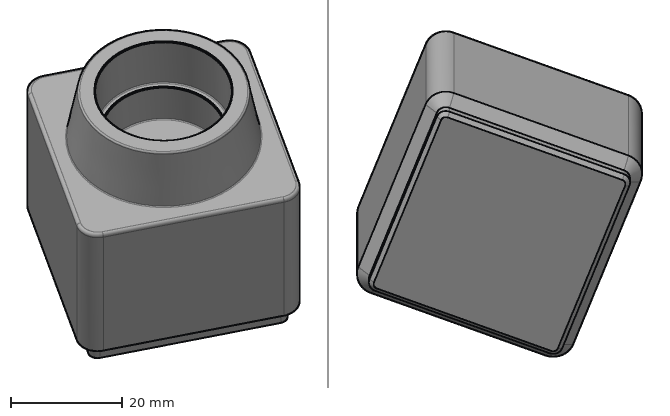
import cadquery as cq

body_width = 41.5
total_height = 47.0

flare = 2.15
base_width = body_width - 2 * flare
base_bottom_chamfer = 0.85
base_top = 2.73
body_side_bottom = base_top + flare
body_top = 35.1
body_corner_radius = 3.9
body_top_fillet = 0.7
base_corner_radius = body_corner_radius - flare

neck_bottom_diameter = 35.05
neck_top_diameter = 30.93
neck_top_fillet = 0.38
neck_foot_fillet = 0.2

bore_diameter = 24.6
bore_depth = 10.58
inner_bore_diameter = 22.3
floor_height = 28.2
bore_edge_chamfer = 0.2
bore_corner_fillet = 0.2


def rounded_square(width, corner_radius, height):
    """Sketch of a square with rounded corners, lying at the given height."""
    sketch = cq.Sketch().rect(width, width).vertices().fillet(corner_radius)
    return cq.Workplane("XY", origin=(0, 0, height)).placeSketch(sketch)


def rounded_block(width, corner_radius, bottom, top):
    """Vertical block with a rounded square outline."""
    return rounded_square(width, corner_radius, bottom).extrude(top - bottom)


def rounded_taper(bottom_width, bottom_radius, bottom, top_width, top_radius, top):
    """Straight loft between two rounded squares."""
    lower = cq.Sketch().rect(bottom_width, bottom_width).vertices().fillet(bottom_radius)
    upper = cq.Sketch().rect(top_width, top_width).vertices().fillet(top_radius)
    upper = upper.moved(cq.Location(cq.Vector(0, 0, top - bottom)))
    return cq.Workplane("XY", origin=(0, 0, bottom)).placeSketch(lower, upper).loft(ruled=True)


def make_base():
    """Stepped foot: bottom chamfer, short upright band and flare out to the body."""
    bottom_chamfer = rounded_taper(
        base_width - 2 * base_bottom_chamfer,
        base_corner_radius - base_bottom_chamfer,
        0,
        base_width,
        base_corner_radius,
        base_bottom_chamfer,
    )
    band = rounded_block(base_width, base_corner_radius, base_bottom_chamfer, base_top)
    flared_collar = rounded_taper(
        base_width, base_corner_radius, base_top, body_width, body_corner_radius, body_side_bottom
    )
    return bottom_chamfer.union(band).union(flared_collar)


def make_body():
    """Main block with a rounded top edge."""
    block = rounded_block(body_width, body_corner_radius, body_side_bottom, body_top)
    return block.faces(">Z").edges().fillet(body_top_fillet)


def make_neck():
    """Neck turned about Z, with a straight tapered side."""
    bottom_radius = neck_bottom_diameter / 2
    top_radius = neck_top_diameter / 2
    neck = (
        cq.Workplane("XZ")
        .moveTo(0, body_top)
        .lineTo(bottom_radius, body_top)
        .lineTo(top_radius, total_height)
        .lineTo(0, total_height)
        .close()
        .revolve(360, (0, 0, 0), (0, 1, 0))
    )
    return neck.faces(">Z").edges().fillet(neck_top_fillet)


def rounded_plug(diameter, bottom, top):
    """Bore cutter with a rounded bottom edge and a chamfered mouth."""
    plug = cq.Workplane("XY", origin=(0, 0, bottom)).circle(diameter / 2).extrude(top - bottom)
    plug = plug.faces("<Z").edges().fillet(bore_corner_fillet)
    mouth = (
        cq.Workplane("XY", origin=(0, 0, top))
        .circle(diameter / 2 + bore_edge_chamfer)
        .extrude(-bore_edge_chamfer, taper=45)
    )
    return plug.union(mouth)


def make_bore():
    """Cutter for the stepped bore: a wide mouth and a narrower pocket below the ledge."""
    ledge = total_height - bore_depth
    wide_bore = rounded_plug(bore_diameter, ledge, total_height)
    inner_bore = rounded_plug(inner_bore_diameter, floor_height, ledge)
    return wide_bore.union(inner_bore)


outside = make_base().union(make_body()).union(make_neck())

neck_foot = cq.selectors.BoxSelector(
    (-neck_bottom_diameter / 2, -neck_bottom_diameter / 2, body_top - neck_foot_fillet),
    (neck_bottom_diameter / 2, neck_bottom_diameter / 2, body_top + neck_foot_fillet),
)
outside = outside.edges(neck_foot).edges("%CIRCLE").fillet(neck_foot_fillet)

result = outside.cut(make_bore())